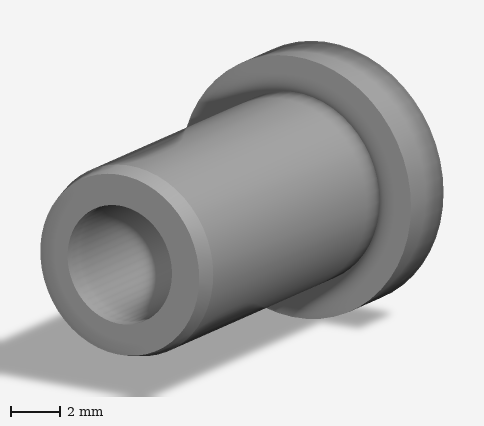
import cadquery as cq
import math

total_length = 16.0
flange_diameter = 11.0
flange_thickness = 2.5
shank_diameter = 8.0
bore_diameter = 5.0
lead_in_length = 0.75
lead_in_angle = 15.0

flange_radius = flange_diameter / 2
shank_radius = shank_diameter / 2
bore_radius = bore_diameter / 2
tip_radius = shank_radius - lead_in_length * math.tan(math.radians(lead_in_angle))
shoulder_y = total_length - flange_thickness

half_section = (
    cq.Workplane("XY")
    .moveTo(bore_radius, 0)
    .lineTo(tip_radius, 0)
    .lineTo(shank_radius, lead_in_length)
    .lineTo(shank_radius, shoulder_y)
    .lineTo(flange_radius, shoulder_y)
    .lineTo(flange_radius, total_length)
    .lineTo(bore_radius, total_length)
    .close()
)

result = half_section.revolve(360, (0, 0, 0), (0, 1, 0))